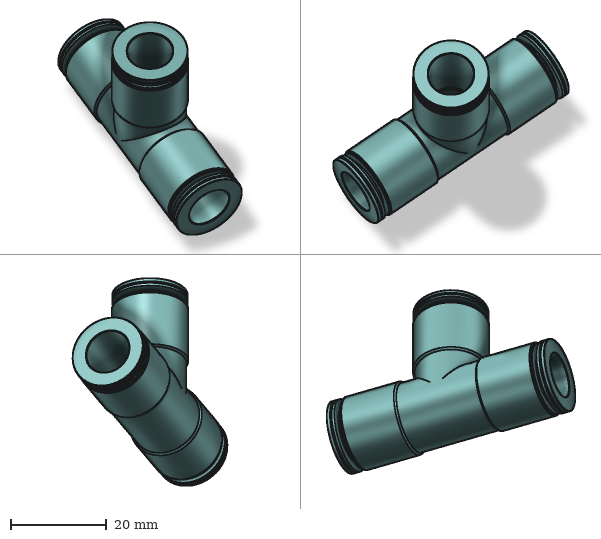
import cadquery as cq

run_half_length = 25.0
branch_length = 25.0
stem_diameter = 15.2

sleeve_diameter = 16.0
sleeve_end_distance = 15.9
sleeve_end_chamfer = (sleeve_diameter - stem_diameter) / 2

lip_diameter = 15.6
lip_distance = 2.9
lip_length = 0.5
lip_chamfer = 0.15

collar_diameter = 15.8
collar_length = 1.8
collar_chamfer = 0.1
neck_diameter = 11.52
neck_root_chamfer = 0.1

groove_diameter = 15.6
groove_distance = 0.8
groove_width = 0.4

passage_diameter = 8.5
passage_chamfer = 0.2
socket_diameter = 9.52
socket_chamfer = 0.15
socket_depth = sleeve_end_distance


def revolve_about_z(profile):
    """Revolve a closed (radius, height) outline about the Z axis."""
    return cq.Workplane("XZ").polyline(profile).close().revolve(360, (0, 0), (0, 1))


def axial_cylinder(diameter, bottom, top):
    """Cylinder on the Z axis between two heights."""
    return cq.Workplane("XY").workplane(offset=bottom).circle(diameter / 2).extrude(top - bottom)


def sleeve(length):
    """Sleeve chamfered down to the stem, with a stepped lip at its mouth."""
    sleeve_bottom = length - sleeve_end_distance
    lip_top = length - lip_distance
    shoulder = lip_top - lip_length
    sleeve_radius = sleeve_diameter / 2
    lip_radius = lip_diameter / 2
    return revolve_about_z([
        (0, sleeve_bottom),
        (stem_diameter / 2, sleeve_bottom),
        (sleeve_radius, sleeve_bottom + sleeve_end_chamfer),
        (sleeve_radius, shoulder),
        (lip_radius, shoulder),
        (lip_radius, lip_top - lip_chamfer),
        (lip_radius - lip_chamfer, lip_top),
        (0, lip_top),
    ])


def release_collar(length):
    """Neck and disc with a chamfered face edge, and a V-groove around the disc."""
    collar_bottom = length - collar_length
    groove_top = length - groove_distance
    groove_bottom = groove_top - groove_width
    neck_radius = neck_diameter / 2
    rim_radius = collar_diameter / 2
    return revolve_about_z([
        (0, length - lip_distance),
        (neck_radius, length - lip_distance),
        (neck_radius, collar_bottom - neck_root_chamfer),
        (neck_radius + neck_root_chamfer, collar_bottom),
        (rim_radius, collar_bottom),
        (rim_radius, groove_bottom),
        (groove_diameter / 2, (groove_bottom + groove_top) / 2),
        (rim_radius, groove_top),
        (rim_radius, length - collar_chamfer),
        (rim_radius - collar_chamfer, length),
        (0, length),
    ])


def port_bore(length):
    """Chamfered tube socket, continued to the origin by a passage with a chamfered entry."""
    socket_floor = length - socket_depth
    passage_radius = passage_diameter / 2
    socket_radius = socket_diameter / 2
    return revolve_about_z([
        (0, 0),
        (passage_radius, 0),
        (passage_radius, socket_floor - passage_chamfer),
        (passage_radius + passage_chamfer, socket_floor),
        (socket_radius, socket_floor),
        (socket_radius, length - socket_chamfer),
        (socket_radius + socket_chamfer, length),
        (0, length),
    ])


def turn_about_y(shape, angle):
    """Swing an arm built along +Z about the Y axis."""
    return shape.rotate((0, 0, 0), (0, 1, 0), angle)


arms = [(0, branch_length), (90, run_half_length), (-90, run_half_length)]

run_stem_half_length = run_half_length - sleeve_end_distance
run_stem = axial_cylinder(stem_diameter, -run_stem_half_length, run_stem_half_length)
branch_stem = axial_cylinder(stem_diameter, 0, branch_length - sleeve_end_distance)
result = turn_about_y(run_stem, 90).union(branch_stem)

for arm_angle, arm_length in arms:
    port = sleeve(arm_length).union(release_collar(arm_length))
    result = result.union(turn_about_y(port, arm_angle))
for arm_angle, arm_length in arms:
    result = result.cut(turn_about_y(port_bore(arm_length), arm_angle))